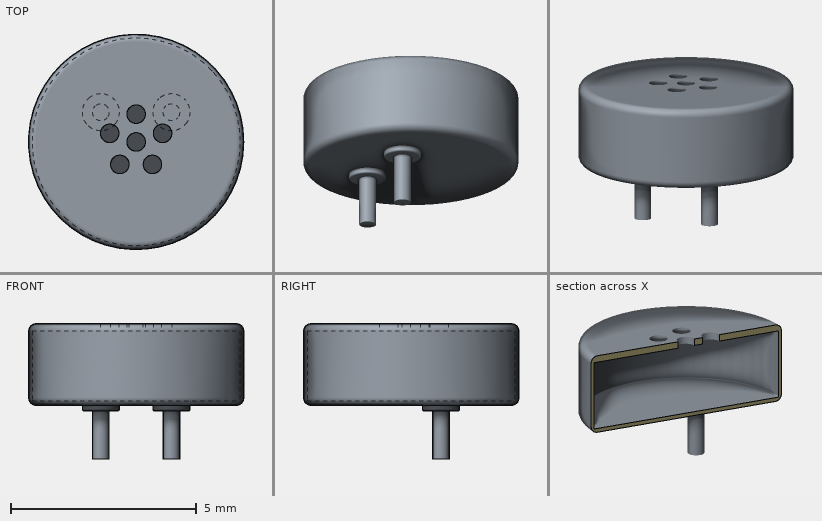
import cadquery as cq
import math

can_diameter = 5.8
can_height = 2.2
edge_radius = 0.2
wall_thickness = 0.1
lid_thickness = 0.2
floor_thickness = 0.12
cavity_fillet = 0.025

hole_diameter = 0.5
hole_ring_radius = 0.75
ring_hole_count = 5
first_hole_angle = 90

pin_diameter = 0.45
pin_length = 1.45
collar_diameter = 1.0
collar_height = 0.15
collar_fillet = 0.045
pin_spacing = 1.9
pin_pair_center = (0, 0.8)


def hollow_can():
    body = cq.Workplane("XY").circle(can_diameter / 2).extrude(can_height)
    body = body.edges().fillet(edge_radius)
    cavity = (
        cq.Workplane("XY", origin=(0, 0, floor_thickness))
        .circle(can_diameter / 2 - wall_thickness)
        .extrude(can_height - floor_thickness - lid_thickness)
        .edges("<Z")
        .fillet(cavity_fillet)
    )
    return body.cut(cavity)


def sound_holes():
    centers = [(0, 0)]
    for index in range(ring_hole_count):
        angle = math.radians(first_hole_angle + index * 360 / ring_hole_count)
        centers.append((hole_ring_radius * math.cos(angle), hole_ring_radius * math.sin(angle)))
    return (
        cq.Workplane("XY", origin=(0, 0, can_height - lid_thickness))
        .pushPoints(centers)
        .circle(hole_diameter / 2)
        .extrude(lid_thickness)
    )


def collared_pin(x, y):
    collar = (
        cq.Workplane("XY", origin=(x, y, 0))
        .circle(collar_diameter / 2)
        .extrude(-collar_height)
        .edges("<Z")
        .fillet(collar_fillet)
    )
    pin = cq.Workplane("XY", origin=(x, y, 0)).circle(pin_diameter / 2).extrude(-pin_length)
    return collar.union(pin)


result = hollow_can().cut(sound_holes())
center_x, center_y = pin_pair_center
for side in (-1, 1):
    result = result.union(collared_pin(center_x + side * pin_spacing / 2, center_y))